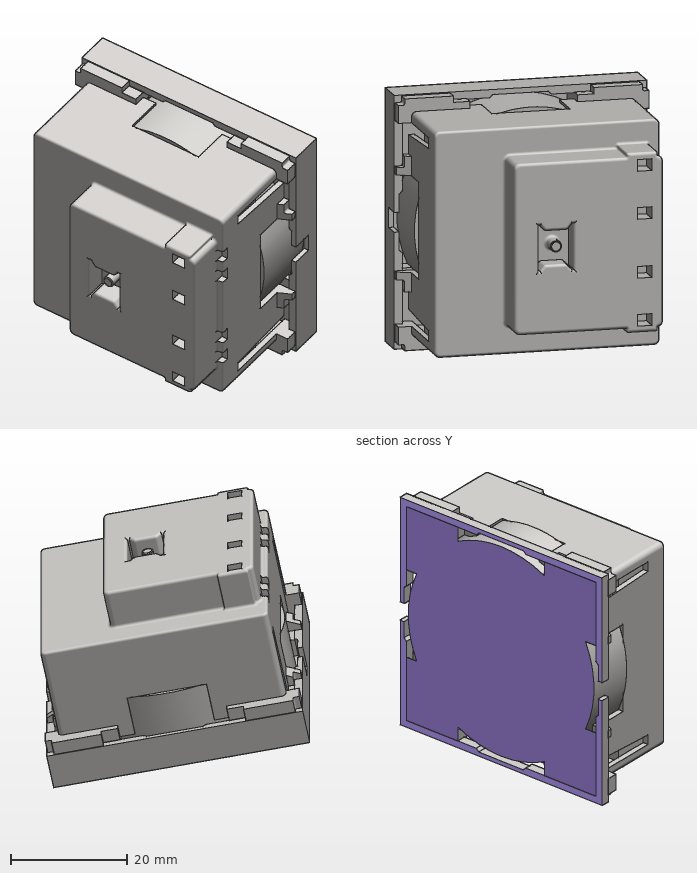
import cadquery as cq

cover_size = 45.0
cover_depth = 6.2
pocket_half = 21.05
pocket_floor_depth = 1.35
bulge_half = 21.6
bulge_half_length = 4.95
bulge_slope_run = 0.55
notch_width = 3.5
notch_floor_depth = 2.45

body_half = 20.0
body_front_depth = 24.55
body_corner_radius = 0.95
body_edge_radius = 0.45
base_depth = 4.45
wall = 1.1
wall_inner = body_half - wall

core_radius = 20.75
core_depth = 13.28
side_window_half = 8.6
top_window_half = 6.98

flange_depth = 8.45
flange_half = 22.3
flange_leg_end = 18.05
flange_step = 12.5
flange_tip = 9.6
flange_notch_half = 21.2
flange_notch_radius = 0.35

hook_arm_end = 10.0
hook_end = 12.0
hook_inner_depth = 8.3
hook_outer_depth = 7.1
hook_corner_radius = 0.35

slot_end_depth = 20.02
slot_far = 18.05
slot_near_start = 15.45
slot_near_end = 16.15

overall_depth = 31.5
block_left = -7.55
block_right = 18.8
block_half_height = 15.1
block_corner_radius = 1.0
block_edge_radius = 0.55
block_root_radius = 0.5
ear_left = 12.45
ear_right = 17.85
ear_half_height = 15.9
ear_corner_radius = 0.22

recess_center_x = -0.2
recess_half_width = 3.15
recess_horn_half_width = 2.85
recess_waist_half_width = 2.0
recess_half_height = 4.1
recess_waist_half_height = 3.05
recess_depth = 3.82
recess_edge_radius = 0.5
recess_waist_radius = 0.6
pin_radius = 1.0
pin_tip_below_face = 0.9
pin_tip_chamfer = 0.2
pin_root_radius = 0.55

hole_width = 2.5
hole_height = 2.05
hole_x = 15.52
hole_heights = [13.72, 5.2]
hole_depth = 3.6

edge_notch_height = 2.4
edge_notch_heights = [11.75, 7.05]
edge_notch_depth = 1.35

selection_margin = 0.05


def plane_at(depth):
    """XZ workplane at the given depth; it extrudes towards -Y."""
    return cq.Workplane("XZ", origin=(0, -depth, 0))


def box(x_range, z_range, depth_range):
    width = x_range[1] - x_range[0]
    height = z_range[1] - z_range[0]
    return (
        plane_at(depth_range[0])
        .center(x_range[0] + width / 2, z_range[0] + height / 2)
        .rect(width, height)
        .extrude(depth_range[1] - depth_range[0])
    )


def square(half, start_depth, end_depth):
    return box((-half, half), (-half, half), (start_depth, end_depth))


def four_copies(shape):
    """The shape and its mirror images in X and in Z."""
    pair = shape.union(shape.mirror("YZ"))
    return pair.union(pair.mirror("XY"))


def both_signs(values):
    return [sign * value for value in values for sign in (1, -1)]



def make_pocket():
    pocket = square(pocket_half, pocket_floor_depth, cover_depth)
    foot = bulge_half_length + bulge_slope_run
    bulge = (
        plane_at(pocket_floor_depth)
        .polyline([
            (-foot, pocket_half), (-bulge_half_length, bulge_half),
            (bulge_half_length, bulge_half), (foot, pocket_half),
            (foot, -pocket_half), (bulge_half_length, -bulge_half),
            (-bulge_half_length, -bulge_half), (-foot, -pocket_half),
        ])
        .close()
        .extrude(cover_depth - pocket_floor_depth)
    )
    return pocket.union(bulge).union(bulge.rotate((0, 0, 0), (0, 1, 0), 90))


def make_cover():
    plate = square(cover_size / 2, 0, cover_depth)
    notches = box(
        (-cover_size / 2, cover_size / 2), (-notch_width / 2, notch_width / 2),
        (notch_floor_depth, cover_depth),
    )
    return plate.cut(make_pocket()).cut(notches)



def make_core():
    return plane_at(pocket_floor_depth).circle(core_radius).extrude(core_depth - pocket_floor_depth)


def make_shell():
    """Box with a wider base; windows and corner cavities are cleared around the core."""
    shell = (
        square(body_half, pocket_floor_depth, body_front_depth)
        .edges("|Y").fillet(body_corner_radius)
        .faces("<Y").edges().fillet(body_edge_radius)
    )
    shell = shell.union(square(pocket_half, pocket_floor_depth, cover_depth))
    window_depths = (pocket_floor_depth, core_depth)
    full = (-pocket_half, pocket_half)
    side_windows = box(full, (-side_window_half, side_window_half), window_depths)
    top_windows = box((-top_window_half, top_window_half), full, window_depths)
    flange_gaps = box((-flange_tip, flange_tip), full, (pocket_floor_depth, cover_depth))
    leg_gaps = box(full, (-flange_leg_end, flange_leg_end), (base_depth, cover_depth))
    cavities = square(wall_inner, base_depth, core_depth)
    for cutter in (side_windows, top_windows, flange_gaps, leg_gaps, cavities):
        shell = shell.cut(cutter)
    return shell


def make_flanges():
    root = body_half - body_corner_radius
    corner = (
        plane_at(cover_depth)
        .polyline([
            (root, flange_leg_end), (flange_half, flange_leg_end),
            (flange_half, flange_notch_half), (flange_notch_half, flange_notch_half),
            (flange_notch_half, flange_half), (flange_step, flange_half),
            (flange_step, flange_notch_half), (flange_tip, flange_notch_half),
            (flange_tip, root), (root, root),
        ])
        .close()
        .extrude(flange_depth - cover_depth)
    )
    notch_corner = cq.selectors.NearestToPointSelector(
        (flange_notch_half, -(cover_depth + flange_depth) / 2, flange_notch_half)
    )
    return four_copies(corner.edges(notch_corner).fillet(flange_notch_radius))


def make_hooks():
    root = wall_inner
    outline = (
        plane_at(cover_depth)
        .moveTo(root, side_window_half)
        .lineTo(flange_half, side_window_half)
        .lineTo(flange_half, hook_arm_end)
        .lineTo(pocket_half + hook_corner_radius, hook_arm_end)
        .radiusArc((pocket_half, hook_arm_end + hook_corner_radius), hook_corner_radius)
        .lineTo(pocket_half, hook_end)
        .lineTo(root, hook_end)
        .close()
        .extrude(hook_inner_depth - cover_depth)
    )
    sloped_profile = (
        cq.Workplane("XY", origin=(0, 0, side_window_half))
        .polyline([
            (root, -cover_depth), (flange_half, -cover_depth), (flange_half, -hook_outer_depth),
            (body_half, -hook_inner_depth), (root, -hook_inner_depth),
        ])
        .close()
        .extrude(hook_end - side_window_half)
    )
    return four_copies(outline.intersect(sloped_profile))


def make_side_slots():
    slot = (
        cq.Workplane("YZ", origin=(wall_inner, 0, 0))
        .polyline([
            (-cover_depth, slot_near_start), (-slot_end_depth, slot_near_end),
            (-slot_end_depth, slot_far), (-cover_depth, slot_far),
        ])
        .close()
        .extrude(wall)
    )
    return four_copies(slot)


def make_edge_notches():
    height = edge_notch_height / 2
    notches = cq.Workplane()
    for z in both_signs(edge_notch_heights):
        notches = notches.add(box(
            (block_right, body_half), (z - height, z + height),
            (body_front_depth - edge_notch_depth, body_front_depth + block_root_radius),
        ))
    return notches.combine()


def make_block():
    block = box(
        (block_left, block_right), (-block_half_height, block_half_height),
        (body_front_depth, overall_depth),
    )
    block = block.edges("|Y").fillet(block_corner_radius)
    ears = box(
        (ear_left, ear_right), (-ear_half_height, ear_half_height),
        (body_front_depth, overall_depth),
    )
    block = block.union(ears)
    ear_corners = cq.selectors.BoxSelector(
        (ear_left - selection_margin, -overall_depth, -overall_depth),
        (ear_right + selection_margin, 0, overall_depth),
    )
    block = block.edges("|Y").edges(ear_corners).fillet(ear_corner_radius)
    return block.faces("<Y").edges().fillet(block_edge_radius)


def add_block(body):
    """Join the block to the housing box with a fillet around its root."""
    joined = body.union(make_block())
    root_edges = cq.selectors.BoxSelector(
        (block_left - selection_margin, -body_front_depth - selection_margin, -ear_half_height - selection_margin),
        (block_right + selection_margin, -body_front_depth + selection_margin, ear_half_height + selection_margin),
        boundingbox=True,
    )
    return joined.edges(root_edges).fillet(block_root_radius)


def cut_recess(body):
    quarter = [
        (recess_half_width, recess_half_height), (recess_horn_half_width, recess_half_height),
        (recess_waist_half_width, recess_waist_half_height),
    ]
    upper = quarter + [(-x, z) for x, z in reversed(quarter)]
    lower = [(x, -z) for x, z in reversed(upper)]
    recess = (
        plane_at(overall_depth - recess_depth)
        .center(recess_center_x, 0)
        .polyline(upper + lower)
        .close()
        .extrude(recess_depth)
    )
    waist_corners = cq.selectors.BoxSelector(
        (recess_center_x - recess_horn_half_width, -overall_depth, -recess_waist_half_height - selection_margin),
        (recess_center_x + recess_horn_half_width, 0, recess_waist_half_height + selection_margin),
    )
    recess = recess.edges("|Y").edges(waist_corners).fillet(recess_waist_radius)
    body = body.cut(recess)
    reach_x = recess_half_width + selection_margin
    reach_z = recess_half_height + selection_margin
    rim = cq.selectors.BoxSelector(
        (recess_center_x - reach_x, -overall_depth - selection_margin, -reach_z),
        (recess_center_x + reach_x, -overall_depth + selection_margin, reach_z),
        boundingbox=True,
    )
    return body.edges(rim).fillet(recess_edge_radius)


def add_pin(body):
    """Pin standing on the recess floor, with a filleted root."""
    floor_depth = overall_depth - recess_depth
    length = recess_depth - pin_tip_below_face
    profile = (
        cq.Workplane("XY", origin=(0, -floor_depth, 0))
        .moveTo(0, 0)
        .lineTo(pin_radius + pin_root_radius, 0)
        .radiusArc((pin_radius, -pin_root_radius), -pin_root_radius)
        .lineTo(pin_radius, pin_tip_chamfer - length)
        .lineTo(pin_radius - pin_tip_chamfer, -length)
        .lineTo(0, -length)
        .close()
    )
    return body.union(profile.revolve(360, (0, 0, 0), (0, 1, 0)))


def make_square_holes():
    return (
        plane_at(overall_depth - hole_depth)
        .pushPoints([(hole_x, z) for z in both_signs(hole_heights)])
        .rect(hole_width, hole_height)
        .extrude(hole_depth)
    )


def make_housing():
    body = make_shell().union(make_flanges()).union(make_hooks())
    body = body.cut(make_side_slots()).union(make_core())
    body = add_block(body)
    body = add_pin(cut_recess(body))
    return body.cut(make_square_holes()).cut(make_edge_notches())


cover = make_cover()
housing = make_housing()
result = cq.Compound.makeCompound([cover.val(), housing.val()])